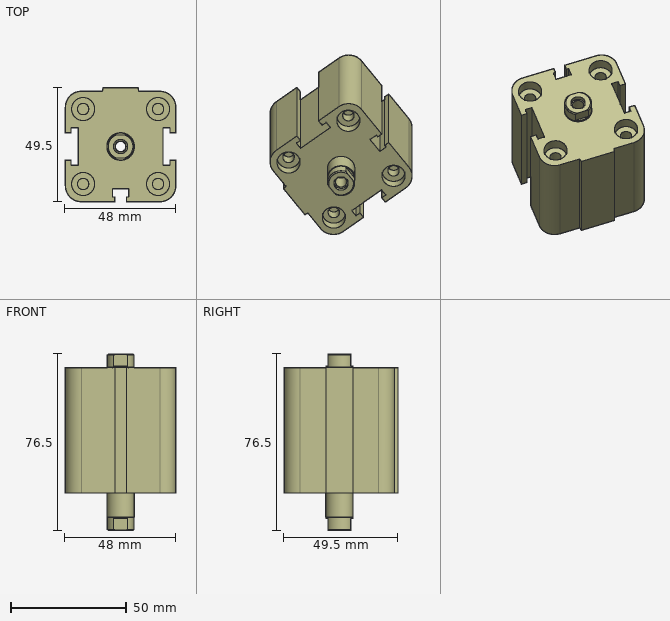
import cadquery as cq

HOUSING_WIDTH = 48.0
HOUSING_LENGTH = 54.4
CORNER_RADIUS = 7.0
HALF_WIDTH = HOUSING_WIDTH / 2

RIB_HEIGHT = 1.5
RIB_BASE_WIDTH = 15.8
RIB_TOP_WIDTH = 15.3

SLOT_DEPTH = 5.6
SIDE_SLOT_OPENING = 11.8
SIDE_SLOT_WIDTH = 16.2
SIDE_SLOT_LIP = 2.6
FRONT_SLOT_OPENING = 5.0
FRONT_SLOT_WIDTH = 7.0
FRONT_SLOT_LIP = 2.2

THREAD_DIAMETER = 4.92

MOUNT_SPACING = 32.5
COUNTERBORE_DIAMETER = 10.0
COUNTERBORE_DEPTH = 5.6
MOUNT_THREAD_DEPTH = 12.0

ROD_DIAMETER = 12.0
TIP_DIAMETER = 11.7
TIP_CHAMFER = 0.5
SHOULDER_CHAMFER = (ROD_DIAMETER - TIP_DIAMETER) / 2
TIP_LENGTH = 5.6
FLAT_LENGTH = 5.1
ACROSS_FLATS = 10.0
ROD_TOP_PROJECTION = 5.9
ROD_BOTTOM_PROJECTION = 16.2
ROD_BORE_DIAMETER = 4.5
ROD_RECESS_DIAMETER = 6.2
ROD_RECESS_DEPTH = 2.0
ROD_THREAD_DEPTH = 12.0

ROD_TOP = HOUSING_LENGTH + ROD_TOP_PROJECTION
ROD_BOTTOM = -ROD_BOTTOM_PROJECTION


def t_slot(opening, width, lip):
    """T-slot cutter along the housing, open through the -Y face."""
    neck = cq.Workplane("XY").rect(opening, 2 * SLOT_DEPTH).extrude(HOUSING_LENGTH)
    head = (
        cq.Workplane("XY")
        .center(0, (lip + SLOT_DEPTH) / 2)
        .rect(width, SLOT_DEPTH - lip)
        .extrude(HOUSING_LENGTH)
    )
    return neck.union(head).translate((0, -HALF_WIDTH, 0))


def mounting_holes():
    """Counterbored blind holes entering both end faces."""
    holes = cq.Workplane("XY")
    for end, direction in ((0, 1), (HOUSING_LENGTH, -1)):
        for diameter, depth in (
            (COUNTERBORE_DIAMETER, COUNTERBORE_DEPTH),
            (THREAD_DIAMETER, MOUNT_THREAD_DEPTH),
        ):
            bores = (
                cq.Workplane("XY", origin=(0, 0, end))
                .rect(MOUNT_SPACING, MOUNT_SPACING, forConstruction=True)
                .vertices()
                .circle(diameter / 2)
                .extrude(direction * depth)
            )
            holes = holes.add(bores.vals())
    return holes.combine()


def build_housing():
    block = (
        cq.Workplane("XY")
        .rect(HOUSING_WIDTH, HOUSING_WIDTH)
        .extrude(HOUSING_LENGTH)
        .edges("|Z")
        .fillet(CORNER_RADIUS)
    )
    rib = (
        cq.Workplane("XY")
        .moveTo(-RIB_BASE_WIDTH / 2, 0)
        .lineTo(-RIB_BASE_WIDTH / 2, HALF_WIDTH)
        .lineTo(-RIB_TOP_WIDTH / 2, HALF_WIDTH + RIB_HEIGHT)
        .lineTo(RIB_TOP_WIDTH / 2, HALF_WIDTH + RIB_HEIGHT)
        .lineTo(RIB_BASE_WIDTH / 2, HALF_WIDTH)
        .lineTo(RIB_BASE_WIDTH / 2, 0)
        .close()
        .extrude(HOUSING_LENGTH)
    )
    body = block.union(rib)
    body = body.cut(t_slot(FRONT_SLOT_OPENING, FRONT_SLOT_WIDTH, FRONT_SLOT_LIP))
    side_slot = t_slot(SIDE_SLOT_OPENING, SIDE_SLOT_WIDTH, SIDE_SLOT_LIP)
    for angle in (90, -90):
        body = body.cut(side_slot.rotate((0, 0, 0), (0, 0, 1), angle))
    body = body.cut(mounting_holes())
    rod_bore = cq.Workplane("XY").circle(ROD_DIAMETER / 2).extrude(HOUSING_LENGTH)
    return body.cut(rod_bore)


def build_rod():
    half_length = (ROD_TOP - ROD_BOTTOM) / 2
    middle = (ROD_TOP + ROD_BOTTOM) / 2
    shaft_radius = ROD_DIAMETER / 2
    tip_radius = TIP_DIAMETER / 2
    bore_radius = ROD_BORE_DIAMETER / 2
    thread_radius = THREAD_DIAMETER / 2
    recess_radius = ROD_RECESS_DIAMETER / 2
    tip_start = half_length - TIP_LENGTH

    half_rod = (
        cq.Workplane("XZ")
        .moveTo(bore_radius, 0)
        .lineTo(shaft_radius, 0)
        .lineTo(shaft_radius, tip_start - SHOULDER_CHAMFER)
        .lineTo(tip_radius, tip_start)
        .lineTo(tip_radius, half_length - TIP_CHAMFER)
        .lineTo(tip_radius - TIP_CHAMFER, half_length)
        .lineTo(recess_radius, half_length)
        .lineTo(recess_radius, half_length - ROD_RECESS_DEPTH)
        .lineTo(thread_radius, half_length - ROD_RECESS_DEPTH)
        .lineTo(thread_radius, half_length - ROD_THREAD_DEPTH)
        .lineTo(bore_radius, half_length - ROD_THREAD_DEPTH)
        .close()
        .revolve(360, (0, 0, 0), (0, 1, 0))
    )
    for side in (1, -1):
        flat = cq.Workplane("XY").box(ROD_DIAMETER, ROD_DIAMETER, FLAT_LENGTH)
        flat_offset = side * (ACROSS_FLATS + ROD_DIAMETER) / 2
        half_rod = half_rod.cut(flat.translate((0, flat_offset, half_length - FLAT_LENGTH / 2)))
    rod = half_rod.union(half_rod.mirror("XY"))
    return rod.translate((0, 0, middle))


housing = build_housing()
rod = build_rod()

result = cq.Compound.makeCompound([housing.val(), rod.val()])